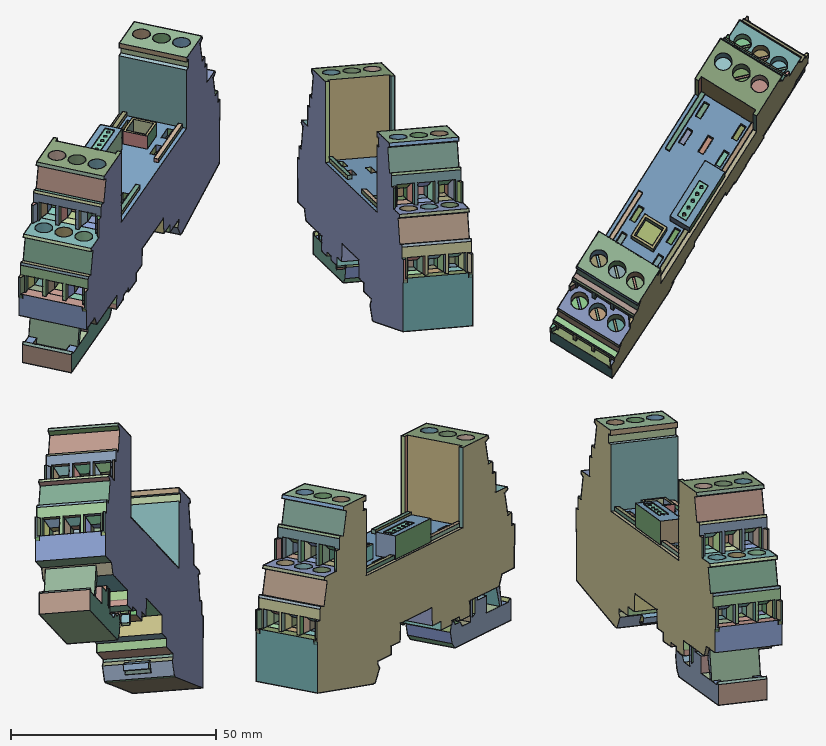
import cadquery as cq


WIDTH = 17.7
LENGTH = 91.05
HEIGHT = 50.98
HALF_WIDTH = WIDTH / 2
HALF_LENGTH = LENGTH / 2
OVERCUT = 1.0

DECK_Z = 30.41
RIM_Z = 31.42
TOWER_INNER_Y = 22.75
UPPER_FACE_Y = 35.37
LOWER_FACE_Y = 44.19
BODY_END_Y = 45.29
LOWER_STEP_Z = 35.32
LEDGE_Z = 19.95
HOUSING_BOTTOM_Z = 6.94
FOOT_SPACE_Z = 10.8

TERMINAL_PITCH = 5.23
TERMINAL_XS = [-TERMINAL_PITCH, 0, TERMINAL_PITCH]
SCREW_DIAMETER = 4.3
SCREW_HOLE_DEPTH = 6.0
UPPER_SCREW_Y = 28.73
LOWER_SCREW_Y = 37.65
DRIVER_SLOT_LENGTH = 4.1
DRIVER_SLOT_WIDTH = 0.55
DRIVER_SLOT_DEPTH = 0.5
FUNNEL_WIDTH = 4.4
ENTRY_DEPTH = 1.6
FUNNEL_DEPTH = 1.5
WIRE_HOLE_WIDTH = 2.34
WIRE_HOLE_DEPTH = 3.0
UPPER_FUNNEL_Z = (LOWER_STEP_Z, 40.9)
UPPER_WIRE_HOLE_Z = (35.95, 38.95)
LOWER_FUNNEL_Z = (LEDGE_Z, 24.85)
LOWER_WIRE_HOLE_Z = (20.5, 23.1)

CHEEK_ROOT_WIDTH = 1.05
CHEEK_TIP_WIDTH = 0.45
UPPER_CHEEK_Y = 36.75
UPPER_CHEEK_TOP_Z = 40.55
LOWER_CHEEK_TOP_Z = 24.79
LOWER_CHEEK_BOTTOM_Z = 18.8
LOWER_CHEEK_BEVEL_Z = 19.6

GROOVE_Z = (47.44, 49.64)
GROOVE_DEPTH = 1.38
TOWER_TOP_SETBACK = 0.23
POST_WIDTH = 1.05
POST_LENGTH = 1.2

RAIL_X = (6.68, 7.83)
RAIL_GAP_END_Y = 6.15
SLOT_WIDTH = 1.45
SLOT_LENGTH = 4.2
SLOT_DEPTH = 2.0
SLOT_YS = [18.9, 11.2, -11.4, -19.1]
CENTRE_SLOT_LENGTH = 4.75
CENTRE_SLOT_Y = -12.2
SOCKET_SIZE = 6.4
SOCKET_OPENING = 5.1
SOCKET_Y = 13.95
SOCKET_TOP_Z = 34.2
CONNECTOR_X = (-8.15, -2.53)
CONNECTOR_Y = (-7.93, 8.35)
CONNECTOR_TOP_Z = 36.45
PLUG_FACE_WIDTH = 2.5
PLUG_FACE_LENGTH = 10.2
PLUG_FACE_Y = 2.15
PLUG_FACE_DEPTH = 0.2
CONTACT_COUNT = 5
CONTACT_PITCH = 2.0
CONTACT_DIAMETER = 0.85
CONTACT_DEPTH = 2.0

FOOT_X = (-7.93, 4.9)
FOOT_END_Y = -BODY_END_Y
FOOT_POCKET_X = (-5.8, 2.8)
FOOT_POCKET_FRONT_Y = -43.9
FOOT_POCKET_DEPTH = 1.5
FOOT_PLATE_Z = 5.0
STRUT_BASE_Y = -40.95
STRUT_TOP = (-39.5, 13.2)
LATCH_X = (5.3, 7.35)
HOOK_X = (-3.2, 3.2)


def box(x, y, z):
    """Box between the (low, high) limits given along each axis."""
    return cq.Workplane("XY").box(
        x[1] - x[0], y[1] - y[0], z[1] - z[0], centered=False
    ).translate((x[0], y[0], z[0]))


def side_prism(outline, x):
    """Prism of a closed (Y, Z) outline between two X limits."""
    return cq.Workplane("YZ").polyline(outline).close().extrude(x[1] - x[0]).translate((x[0], 0, 0))


def mirrored_ends(solid):
    """The solid at the -Y end together with its mirror image at the +Y end."""
    return solid.union(solid.mirror("XZ"))


def make_housing():
    """Full-width housing: two stepped towers, the deck between and the rail seat below."""
    stepped_end = [
        (TOWER_INNER_Y, DECK_Z),
        (TOWER_INNER_Y, HEIGHT),
        (33.2, HEIGHT),
        (33.55, 50.15),
        (32.05, 49.5),
        (33.5, 43.45),
        (34.9, 43.85),
        (UPPER_FACE_Y, 43.3),
        (UPPER_FACE_Y, LOWER_STEP_Z),
        (42.0, LOWER_STEP_Z),
        (42.35, 34.6),
        (40.93, 34.0),
        (42.4, 27.85),
        (43.95, 28.25),
        (LOWER_FACE_Y, 27.6),
        (LOWER_FACE_Y, LEDGE_Z),
        (BODY_END_Y, LEDGE_Z),
    ]
    underside = [
        (-BODY_END_Y, 13.55),
        (-39.67, 13.55),
        (-38.3, FOOT_SPACE_Z),
        (-24.63, FOOT_SPACE_Z),
        (-24.95, 8.4),
        (-24.95, HOUSING_BOTTOM_Z),
        (-20.25, HOUSING_BOTTOM_Z),
        (-19.94, 8.0),
        (-16.64, 8.0),
        (-16.64, HOUSING_BOTTOM_Z),
        (-11.4, HOUSING_BOTTOM_Z),
        (-11.4, 9.15),
        (-7.55, 9.15),
        (-7.27, 13.83),
        (7.05, 13.83),
        (7.3, 9.15),
        (11.4, 9.15),
        (11.4, HOUSING_BOTTOM_Z),
        (17.52, HOUSING_BOTTOM_Z),
        (17.52, 6.2),
        (16.7, 5.05),
        (18.73, 1.71),
        (19.9, 1.71),
        (BODY_END_Y, 6.39),
    ]
    right_end = [(-y, z) for y, z in stepped_end]
    outline = right_end + underside + stepped_end[::-1]
    return side_prism(outline, (-HALF_WIDTH, HALF_WIDTH))


def make_cheek(root_y, tip_y, bottom_z, top_z):
    """Cheek at the -X side of a -Y end face, thinning toward its tip."""
    outer_x = -HALF_WIDTH
    return (
        cq.Workplane("XY", origin=(0, 0, bottom_z))
        .polyline([
            (outer_x, -root_y),
            (outer_x + CHEEK_ROOT_WIDTH, -root_y),
            (outer_x + CHEEK_TIP_WIDTH, -tip_y),
            (outer_x, -tip_y),
        ])
        .close()
        .extrude(top_z - bottom_z)
    )


def make_cheeks():
    """Pairs of cheeks beside both rows of wire openings, at both ends."""
    upper = make_cheek(UPPER_FACE_Y, UPPER_CHEEK_Y, LOWER_STEP_Z, UPPER_CHEEK_TOP_Z)
    lower = make_cheek(LOWER_FACE_Y, HALF_LENGTH, LEDGE_Z, LOWER_CHEEK_TOP_Z)
    bevelled_lip = side_prism(
        [
            (-LOWER_FACE_Y, LEDGE_Z),
            (-HALF_LENGTH, LEDGE_Z),
            (-HALF_LENGTH, LOWER_CHEEK_BEVEL_Z),
            (-BODY_END_Y, LOWER_CHEEK_BOTTOM_Z),
            (-LOWER_FACE_Y, LOWER_CHEEK_BOTTOM_Z),
        ],
        (-HALF_WIDTH, -HALF_WIDTH + CHEEK_ROOT_WIDTH),
    )
    one_side = upper.union(lower).union(bevelled_lip)
    return mirrored_ends(one_side.union(one_side.mirror("YZ")))


def make_wire_opening(x, face_y, funnel_z, hole_z):
    """Straight entry, funnel and square wire hole sunk into a -Y end face."""
    funnel_height = funnel_z[1] - funnel_z[0]
    hole_height = hole_z[1] - hole_z[0]
    rise = sum(hole_z) / 2 - sum(funnel_z) / 2
    entry = (
        cq.Workplane("XZ", origin=(x, -face_y, sum(funnel_z) / 2))
        .rect(FUNNEL_WIDTH, funnel_height)
        .extrude(-ENTRY_DEPTH)
    )
    funnel = (
        cq.Workplane("XZ", origin=(x, -face_y + ENTRY_DEPTH, sum(funnel_z) / 2))
        .rect(FUNNEL_WIDTH, funnel_height)
        .workplane(offset=-FUNNEL_DEPTH)
        .center(0, rise)
        .rect(WIRE_HOLE_WIDTH, hole_height)
        .loft()
    )
    hole = (
        cq.Workplane("XZ", origin=(x, -face_y + ENTRY_DEPTH + FUNNEL_DEPTH, sum(hole_z) / 2))
        .rect(WIRE_HOLE_WIDTH, hole_height)
        .extrude(-WIRE_HOLE_DEPTH)
    )
    return entry.union(funnel).union(hole)


def make_screw_hole(x, y, top_z, slotted):
    """Round screw well with an optional diagonal driver slot in its floor."""
    well = (
        cq.Workplane("XY", origin=(x, y, top_z))
        .circle(SCREW_DIAMETER / 2)
        .extrude(-SCREW_HOLE_DEPTH)
    )
    if not slotted:
        return well
    slot_angle = 45 if y < 0 else -45
    slot = (
        cq.Workplane("XY", origin=(x, y, top_z - SCREW_HOLE_DEPTH))
        .transformed(rotate=(0, 0, slot_angle))
        .rect(DRIVER_SLOT_LENGTH, DRIVER_SLOT_WIDTH)
        .extrude(-DRIVER_SLOT_DEPTH)
    )
    return well.union(slot)


def cut_terminals(body):
    """Wire openings and screw wells of all four terminal rows."""
    for x in TERMINAL_XS:
        upper = make_wire_opening(x, UPPER_FACE_Y, UPPER_FUNNEL_Z, UPPER_WIRE_HOLE_Z)
        lower = make_wire_opening(x, LOWER_FACE_Y, LOWER_FUNNEL_Z, LOWER_WIRE_HOLE_Z)
        body = body.cut(mirrored_ends(upper)).cut(mirrored_ends(lower))
        for end in (-1, 1):
            upper_slotted = end > 0 or x == 0
            body = body.cut(make_screw_hole(x, end * UPPER_SCREW_Y, HEIGHT, upper_slotted))
            body = body.cut(make_screw_hole(x, end * LOWER_SCREW_Y, LOWER_STEP_Z, True))
    return body


def cut_tower_groove(body):
    """Latching groove along the inner face of the +Y tower, with the lip above set back."""
    across = (-HALF_WIDTH - OVERCUT, HALF_WIDTH + OVERCUT)
    groove = box(across, (TOWER_INNER_Y - OVERCUT, TOWER_INNER_Y + GROOVE_DEPTH), GROOVE_Z)
    setback = box(
        across,
        (TOWER_INNER_Y - OVERCUT, TOWER_INNER_Y + TOWER_TOP_SETBACK),
        (GROOVE_Z[0], HEIGHT + OVERCUT),
    )
    return body.cut(groove).cut(setback)


def make_tower_posts():
    """Corner posts along the inner face of the -Y tower."""
    post = box(
        (-HALF_WIDTH, -HALF_WIDTH + POST_WIDTH),
        (-TOWER_INNER_Y, -TOWER_INNER_Y + POST_LENGTH),
        (DECK_Z, HEIGHT),
    )
    return post.union(post.mirror("YZ"))


def make_deck_rails():
    """Low rails along both deck edges; the +X one is interrupted in the middle."""
    rail_z = (DECK_Z, RIM_Z)
    left = box((-RAIL_X[1], -RAIL_X[0]), (-TOWER_INNER_Y, TOWER_INNER_Y), rail_z)
    right = box(RAIL_X, (-TOWER_INNER_Y, -RAIL_GAP_END_Y), rail_z)
    return left.union(mirrored_ends(right))


def cut_deck_slots(body):
    """Vent slots in the deck: two rows of four and one in the middle."""
    slots = [(x, y, SLOT_LENGTH) for x in (-TERMINAL_PITCH, TERMINAL_PITCH) for y in SLOT_YS]
    slots.append((0, CENTRE_SLOT_Y, CENTRE_SLOT_LENGTH))
    for x, y, length in slots:
        slot = cq.Workplane("XY", origin=(x, y, DECK_Z)).rect(SLOT_WIDTH, length).extrude(-SLOT_DEPTH)
        body = body.cut(slot)
    return body


def make_socket():
    """Open square socket standing on the deck."""
    return (
        cq.Workplane("XY", origin=(0, SOCKET_Y, DECK_Z))
        .rect(SOCKET_SIZE, SOCKET_SIZE)
        .rect(SOCKET_OPENING, SOCKET_OPENING)
        .extrude(SOCKET_TOP_Z - DECK_Z)
    )


def make_connector():
    """Connector block with a shallow plug face and a row of contact holes."""
    block = box(CONNECTOR_X, CONNECTOR_Y, (DECK_Z, CONNECTOR_TOP_Z))
    plug_face = (
        cq.Workplane("XY", origin=(-TERMINAL_PITCH, PLUG_FACE_Y, CONNECTOR_TOP_Z))
        .rect(PLUG_FACE_WIDTH, PLUG_FACE_LENGTH)
        .extrude(-PLUG_FACE_DEPTH)
    )
    contacts = (
        cq.Workplane("XY", origin=(-TERMINAL_PITCH, PLUG_FACE_Y, CONNECTOR_TOP_Z))
        .rarray(CONTACT_PITCH, CONTACT_PITCH, 1, CONTACT_COUNT)
        .circle(CONTACT_DIAMETER / 2)
        .extrude(-CONTACT_DEPTH)
    )
    return block.cut(plug_face).cut(contacts)


def make_foot():
    """Sliding rail foot with two spring legs, a slanted strut and a finger pocket."""
    outline = [
        (-19.4, 0),
        (FOOT_END_Y, 0),
        (FOOT_END_Y, 5.3),
        (-44.75, 5.85),
        (-43.95, FOOT_PLATE_Z),
        (STRUT_BASE_Y, FOOT_PLATE_Z),
        STRUT_TOP,
        (-38.3, FOOT_SPACE_Z),
        (-40.05, FOOT_PLATE_Z),
        (-34.05, FOOT_PLATE_Z),
        (-34.05, 9.4),
        (-29.9, 9.4),
        (-29.9, FOOT_SPACE_Z),
        (-28.55, FOOT_SPACE_Z),
        (-28.55, 6.3),
        (-27.55, 5.75),
        (-27.55, FOOT_SPACE_Z),
        (-26.55, FOOT_SPACE_Z),
        (-26.55, 4.7),
        (-22.85, 4.7),
        (-21.75, 6.05),
        (-19.55, 6.05),
        (-19.0, 6.94),
        (-17.75, 6.94),
        (-17.3, 4.6),
        (-18.1, 1.5),
    ]
    strut_slope = (STRUT_TOP[0] - STRUT_BASE_Y) / (STRUT_TOP[1] - FOOT_PLATE_Z)
    pocket_floor_z = FOOT_PLATE_Z - FOOT_POCKET_DEPTH
    pocket = side_prism(
        [
            (FOOT_POCKET_FRONT_Y, pocket_floor_z),
            (FOOT_POCKET_FRONT_Y, FOOT_PLATE_Z),
            (STRUT_BASE_Y, FOOT_PLATE_Z),
            (STRUT_BASE_Y - strut_slope * FOOT_POCKET_DEPTH, pocket_floor_z),
        ],
        FOOT_POCKET_X,
    )
    return side_prism(outline, FOOT_X).cut(pocket)


def make_rail_latches():
    """Small latch beside the foot and the hook on the fixed rail jaw."""
    latch = side_prism(
        [
            (-16.64, 8.0),
            (-18.3, 8.0),
            (-18.3, 7.0),
            (-17.65, 6.9),
            (-17.65, 4.75),
            (-17.1, 4.25),
            (-16.64, 4.9),
        ],
        LATCH_X,
    )
    hook = side_prism(
        [(17.1, 5.6), (15.4, 4.6), (15.65, 3.1), (16.8, 3.35), (17.35, 2.5), (18.4, 2.9)],
        HOOK_X,
    )
    return latch.union(hook)


body = make_housing().union(make_cheeks())
body = cut_terminals(body)
body = cut_tower_groove(body)
body = body.union(make_tower_posts())
body = cut_deck_slots(body)
deck_rails = make_deck_rails().cut(box(CONNECTOR_X, CONNECTOR_Y, (DECK_Z, RIM_Z)))
body = body.union(deck_rails).union(make_socket()).union(make_connector())
result = body.union(make_foot()).union(make_rail_latches())